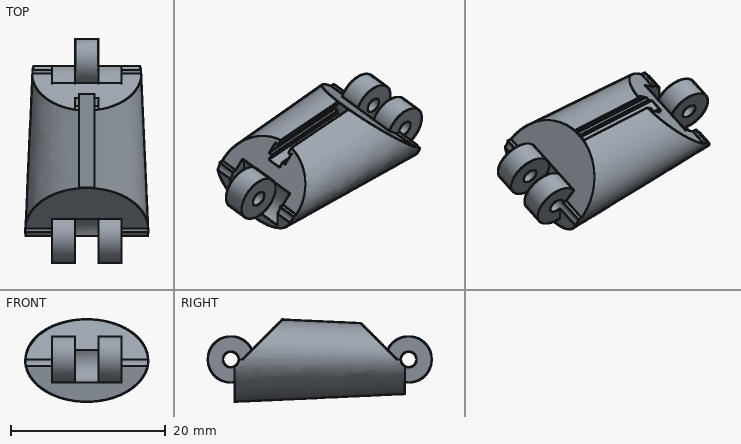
import cadquery as cq

BODY_HALF_LENGTH = 11.0
FRONT_HALF_WIDTH = 8.0
FRONT_HALF_HEIGHT = 5.5
BACK_HALF_WIDTH = 7.0
BACK_HALF_HEIGHT = 4.5

LEDGE_LENGTH = 1.0
BEVEL_FOOT = BODY_HALF_LENGTH - LEDGE_LENGTH

HINGE_OFFSET = 11.5
KNUCKLE_RADIUS = 3.0
PIN_RADIUS = 1.0
KNUCKLE_WIDTH = 3.0
MIDDLE_KNUCKLE = [0.0]
OUTER_KNUCKLES = [-KNUCKLE_WIDTH, KNUCKLE_WIDTH]

RIDGE_SLOPE = (BACK_HALF_HEIGHT - FRONT_HALF_HEIGHT) / (2 * BODY_HALF_LENGTH)
SLOT_FRONT = -4.75
SLOT_WIDTH = 2.0
TEE_WIDTH = 3.0
LIP_DEPTH = 0.55
TEE_HEIGHT = 1.0
FLOOR_GROOVE_DEPTH = 0.5
TEE_BOTTOM_DEPTH = LIP_DEPTH + TEE_HEIGHT
SLOT_FLOOR_DEPTH = TEE_BOTTOM_DEPTH + FLOOR_GROOVE_DEPTH
CUT_CLEARANCE = 1.0


def tapered_body():
    """Ruled loft from the large front ellipse to the smaller back ellipse."""
    return (
        cq.Workplane("XZ", origin=(0, -BODY_HALF_LENGTH, 0))
        .ellipse(FRONT_HALF_WIDTH, FRONT_HALF_HEIGHT)
        .workplane(offset=-2 * BODY_HALF_LENGTH)
        .ellipse(BACK_HALF_WIDTH, BACK_HALF_HEIGHT)
        .loft(ruled=True)
    )


def bevel_cutter(side):
    """Prism above Z = 0 that leaves a 45 degree face; side is -1 (front) or +1 (back)."""
    rise = 2 * FRONT_HALF_HEIGHT
    outer = BEVEL_FOOT + rise
    return (
        cq.Workplane("YZ")
        .moveTo(side * BEVEL_FOOT, 0)
        .lineTo(side * outer, 0)
        .lineTo(side * outer, rise)
        .lineTo(side * (BEVEL_FOOT - rise), rise)
        .close()
        .extrude(FRONT_HALF_WIDTH * 2, both=True)
    )


def cross_cylinder(side, radius, width, center_x=0.0):
    """Cylinder along X on the hinge axis at one end of the body."""
    return (
        cq.Workplane("YZ", origin=(center_x, side * HINGE_OFFSET, 0))
        .circle(radius)
        .extrude(width / 2, both=True)
    )


def add_hinge(body, side, knuckles, clearances):
    """Cut room for the mating knuckles, add this end's knuckles and bore the pin hole."""
    for center_x in clearances:
        body = body.cut(cross_cylinder(side, KNUCKLE_RADIUS, KNUCKLE_WIDTH, center_x))
    for center_x in knuckles:
        body = body.union(cross_cylinder(side, KNUCKLE_RADIUS, KNUCKLE_WIDTH, center_x))
    return body.cut(cross_cylinder(side, PIN_RADIUS, 4 * FRONT_HALF_WIDTH))


def ridge_height(y):
    """Height of the body's top line at a given Y."""
    return FRONT_HALF_HEIGHT + RIDGE_SLOPE * (y + BODY_HALF_LENGTH)


def slot_layer(width, top_depth, bottom_depth):
    """Sloping layer of the slot, from its blind front wall to the back end of the body."""
    front_ridge = ridge_height(SLOT_FRONT)
    back_ridge = ridge_height(BODY_HALF_LENGTH)
    return (
        cq.Workplane("YZ")
        .moveTo(SLOT_FRONT, front_ridge - bottom_depth)
        .lineTo(BODY_HALF_LENGTH, back_ridge - bottom_depth)
        .lineTo(BODY_HALF_LENGTH, back_ridge - top_depth)
        .lineTo(SLOT_FRONT, front_ridge - top_depth)
        .close()
        .extrude(width / 2, both=True)
    )


def tee_slot():
    """Narrow neck, open at the top, with a wider undercut part way down."""
    above_ridge = -CUT_CLEARANCE
    neck = slot_layer(SLOT_WIDTH, above_ridge, SLOT_FLOOR_DEPTH)
    crossbar = slot_layer(TEE_WIDTH, LIP_DEPTH, TEE_BOTTOM_DEPTH)
    return neck.union(crossbar)


body = tapered_body()
for end in (-1, 1):
    body = body.cut(bevel_cutter(end))
body = body.cut(tee_slot())
body = add_hinge(body, -1, knuckles=OUTER_KNUCKLES, clearances=MIDDLE_KNUCKLE)
result = add_hinge(body, 1, knuckles=MIDDLE_KNUCKLE, clearances=OUTER_KNUCKLES)